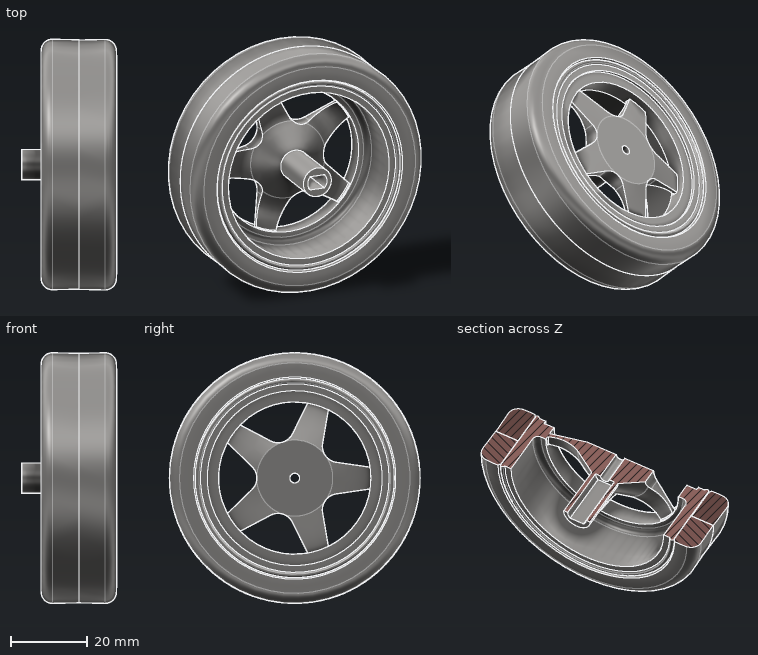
import cadquery as cq
import math


tyre_half_width = 10.0
tyre_radius = 33.0
tread_waist_radius = 32.85
shoulder_radius = 3.0
sidewall_bulge_radius = 20.0
sidewall_crest_radius = 28.3
seat_radius = 26.2
tyre_bead_radius = 26.6

rim_half_width = 9.35
rim_face_outer_radius = 24.8
barrel_radius = 23.0
barrel_floor_x = 3.9
barrel_fillet = 1.6
rim_back_x = 8.5
window_radius = 20.0
lip_width = 1.0
lip_round = 0.6
lip_slope = math.asin(lip_width / lip_round - 1)

spoke_count = 5
spoke_step_x = 4.45
spoke_bevel_depth = 0.45
spoke_bevel_width = 0.2
spoke_edge_x = spoke_step_x + spoke_bevel_depth
spoke_edge_radius = window_radius - spoke_bevel_width
trough_x = 5.8
trough_radius = 16.0
hub_radius = 10.7
hub_edge_x = 4.5
hub_back_x = rim_back_x
spoke_tip_back_x = 6.2
window_root_radius = 10.0
window_root_fillet = 4.2
spoke_root_depth = 1.0
window_half_angle = math.radians(44.3)

shaft_radius = 4.0
shaft_tip_x = -15.0
shaft_root_x = 0.0
socket_diameter = 5.5
socket_flats = 3.7
socket_depth = 15.0
screw_hole_diameter = 2.5


def turn(profile):
    return profile.close().revolve(360, (0, 0, 0), (1, 0, 0))


def polar(centre, radius, angle):
    """Point on a circle; the angle runs from the radial direction towards -X."""
    return centre[0] - radius * math.sin(angle), centre[1] + radius * math.cos(angle)


lip_drop = (seat_radius - lip_width - rim_face_outer_radius) * math.tan(lip_slope)
lip_centre = (
    -rim_half_width - lip_drop + lip_round * math.cos(lip_slope),
    seat_radius - lip_round,
)
lip_end_angle = math.pi / 2 + lip_slope
lip_root_x = lip_centre[0]


def tyre_half():
    bulge_centre = (sidewall_bulge_radius - tyre_half_width, sidewall_crest_radius)
    shoulder_r = tyre_radius - shoulder_radius
    reach = sidewall_bulge_radius - shoulder_radius
    tilt = math.acos((shoulder_r - sidewall_crest_radius) / reach)
    shoulder_centre = polar(bulge_centre, reach, tilt)
    bead_angle = math.acos((tyre_bead_radius - sidewall_crest_radius) / sidewall_bulge_radius)
    profile = (
        cq.Workplane("XY")
        .moveTo(0, seat_radius)
        .lineTo(lip_root_x, seat_radius)
        .lineTo(*polar(bulge_centre, sidewall_bulge_radius, bead_angle))
        .threePointArc(
            polar(bulge_centre, sidewall_bulge_radius, (bead_angle + tilt) / 2),
            polar(bulge_centre, sidewall_bulge_radius, tilt),
        )
        .threePointArc(
            polar(shoulder_centre, shoulder_radius, tilt / 2),
            polar(shoulder_centre, shoulder_radius, 0),
        )
        .lineTo(0, tread_waist_radius)
    )
    return turn(profile)


def rim_ring():
    lip_mid = polar(lip_centre, lip_round, lip_end_angle / 2)
    lip_end = polar(lip_centre, lip_round, lip_end_angle)
    fillet_centre = (barrel_floor_x - barrel_fillet, barrel_radius - barrel_fillet)
    profile = (
        cq.Workplane("XY")
        .moveTo(lip_root_x, seat_radius)
        .threePointArc(lip_mid, lip_end)
        .lineTo(-rim_half_width, rim_face_outer_radius)
        .lineTo(-rim_half_width, barrel_radius)
        .lineTo(fillet_centre[0], barrel_radius)
        .threePointArc(
            polar(fillet_centre, barrel_fillet, -math.pi / 4),
            (barrel_floor_x, fillet_centre[1]),
        )
        .lineTo(barrel_floor_x, window_radius)
        .lineTo(rim_back_x, window_radius)
        .lineTo(rim_back_x, barrel_radius)
        .lineTo(rim_half_width, barrel_radius)
        .lineTo(rim_half_width, rim_face_outer_radius)
        .lineTo(-lip_end[0], lip_end[1])
        .threePointArc((-lip_mid[0], lip_mid[1]), (-lip_root_x, seat_radius))
    )
    return turn(profile)


def hub_disc():
    """Shaft, hub cone and the full disc the spokes are cut from; its rim end is rooted inside the ring."""
    profile = (
        cq.Workplane("XY")
        .moveTo(shaft_tip_x, 0)
        .lineTo(shaft_tip_x, shaft_radius)
        .lineTo(shaft_root_x, shaft_radius)
        .lineTo(hub_edge_x, hub_radius)
        .threePointArc((trough_x, trough_radius), (spoke_edge_x, spoke_edge_radius))
        .lineTo(spoke_step_x, window_radius)
        .lineTo(spoke_step_x, window_radius + spoke_root_depth)
        .lineTo(spoke_tip_back_x, window_radius + spoke_root_depth)
        .lineTo(spoke_tip_back_x, window_radius)
        .lineTo(hub_back_x, window_root_radius)
        .lineTo(hub_back_x, 0)
    )
    return turn(profile)


def window():
    """Wedge with a rounded root that clears the disc between two spokes, pointing towards -Y."""
    root_centre = window_root_radius + window_root_fillet
    apex = root_centre - window_root_fillet / math.sin(window_half_angle)
    outer = window_radius + 2 * spoke_root_depth
    outer_half_width = (outer - apex) * math.tan(window_half_angle)
    tangent_y = -root_centre + window_root_fillet * math.sin(window_half_angle)
    tangent_z = window_root_fillet * math.cos(window_half_angle)
    return (
        cq.Workplane("YZ", origin=(shaft_root_x, 0, 0))
        .moveTo(-outer, -outer_half_width)
        .lineTo(tangent_y, -tangent_z)
        .threePointArc((-window_root_radius, 0), (tangent_y, tangent_z))
        .lineTo(-outer, outer_half_width)
        .close()
        .extrude(tyre_half_width)
    )


def shaft_socket():
    start = cq.Workplane("YZ", origin=(shaft_tip_x, 0, 0))
    round_socket = start.circle(socket_diameter / 2).extrude(socket_depth)
    flats = start.rect(socket_diameter, socket_flats).extrude(socket_depth)
    screw_hole = start.circle(screw_hole_diameter / 2).extrude(hub_back_x - shaft_tip_x)
    return round_socket.intersect(flats).union(screw_hole)


spokes = hub_disc()
for i in range(spoke_count):
    spokes = spokes.cut(window().rotate((0, 0, 0), (1, 0, 0), i * 360 / spoke_count))
rim = rim_ring().union(spokes).cut(shaft_socket())

tyre_halves = []
for turn_angle in (0, 180):
    tyre_halves.append(tyre_half().rotate((0, 0, 0), (0, 0, 1), turn_angle).val())

result = cq.Compound.makeCompound([rim.val(), *tyre_halves])